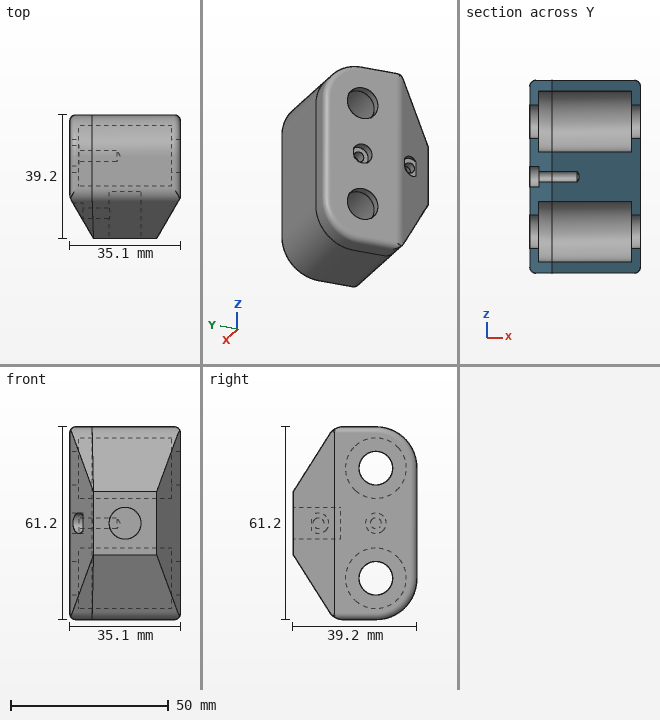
import cadquery as cq
import math

width = 35.1
depth = 39.2
height = 61.2

pad_side = 20.0
back_radius = 13.05
taper_start = depth - back_radius
taper_round = 5.0
side_round = 2.0
pad_left = (width - pad_side) / 2
pad_right = pad_left + pad_side

seam_x = 7.15
seam_bend = 27.4

bore_spacing = 34.9
bore_y = -back_radius
shaft_diameter = 10.6
bearing_diameter = 19.2
end_wall = 2.9

socket_diameter = 10.1
socket_depth = 15.0

screw_head_diameter = 6.5
screw_diameter = 3.4
back_screw_seat = 2.95
back_screw_end = 15.0
drill_tip_angle = 118.0
nose_screw_seat = 4.2
nose_screw_y = -depth + 8.0


def x_cylinder(diameter, start, end, y, z):
    """Cylinder parallel to X between two X positions."""
    return (
        cq.Workplane("YZ", origin=(start, y, z))
        .circle(diameter / 2)
        .extrude(end - start)
    )


def rounded_block():
    """Full-depth block with large back corners and small rounds along both X faces."""
    return (
        cq.Workplane("XY")
        .box(width, depth, height)
        .translate((width / 2, -depth / 2, 0))
        .edges("|X and >Y")
        .fillet(back_radius)
        .faces("<X or >X")
        .edges("not <Y")
        .fillet(side_round)
    )


def tapered_prism(plane, low, high, pad_low, pad_high, start, end):
    """Prism whose outline narrows from low..high to the pad, with sharp shoulders."""
    outline = [
        (low, 0),
        (low, -taper_start),
        (pad_low, -depth),
        (pad_high, -depth),
        (high, -taper_start),
        (high, 0),
    ]
    if plane == "YZ":
        outline = [(y, z) for z, y in outline]
    return cq.Workplane(plane).workplane(offset=start).polyline(outline).close().extrude(end - start)


def outer_shape():
    """Outside form of the closed carriage."""
    side_taper = tapered_prism("XY", 0, width, pad_left, pad_right, -height / 2, height / 2)
    height_taper = tapered_prism("YZ", -height / 2, height / 2, -pad_side / 2, pad_side / 2, 0, width)
    side_shoulder = cq.selectors.NearestToPointSelector((0, -taper_start, 0))
    top_shoulder = cq.selectors.NearestToPointSelector((width / 2, -taper_start, height / 2))
    bottom_shoulder = cq.selectors.NearestToPointSelector((width / 2, -taper_start, -height / 2))
    side_taper = side_taper.edges(side_shoulder).fillet(taper_round)
    height_taper = height_taper.edges(top_shoulder + bottom_shoulder).fillet(taper_round)
    return rounded_block().intersect(side_taper).intersect(height_taper)


def bearing_bores():
    """Stepped bores that hold a bearing between two end walls."""
    bores = cq.Workplane("XY")
    for z in (-bore_spacing / 2, bore_spacing / 2):
        bores = bores.add(x_cylinder(shaft_diameter, 0, width, bore_y, z))
        bores = bores.add(x_cylinder(bearing_diameter, end_wall, width - end_wall, bore_y, z))
    return bores.combine()


def front_socket():
    """Blind round socket in the pad."""
    return (
        cq.Workplane("XZ", origin=((pad_left + pad_right) / 2, -depth, 0))
        .circle(socket_diameter / 2)
        .extrude(-socket_depth)
    )


def back_screw_hole():
    """Counterbored blind screw hole with a conical drill tip."""
    tip_length = screw_diameter / 2 / math.tan(math.radians(drill_tip_angle / 2))
    tip = cq.Workplane(
        cq.Solid.makeCone(
            screw_diameter / 2, 0, tip_length,
            pnt=cq.Vector(back_screw_end, bore_y, 0), dir=cq.Vector(1, 0, 0),
        )
    )
    head = x_cylinder(screw_head_diameter, 0, back_screw_seat, bore_y, 0)
    shank = x_cylinder(screw_diameter, 0, back_screw_end, bore_y, 0)
    return head.union(shank).union(tip)


def nose_screw_hole():
    """Counterbored screw hole that opens into the front socket."""
    head = x_cylinder(screw_head_diameter, 0, nose_screw_seat, nose_screw_y, 0)
    shank = x_cylinder(screw_diameter, 0, width / 2, nose_screw_y, 0)
    return head.union(shank)


def cover_region():
    """Volume on the cover side of the seam."""
    return (
        cq.Workplane("XY", origin=(0, 0, -height / 2))
        .polyline([(0, 0), (seam_x, 0), (seam_x, -seam_bend), (pad_left, -depth), (0, -depth)])
        .close()
        .extrude(height)
    )


carriage = (
    outer_shape()
    .cut(bearing_bores())
    .cut(front_socket())
    .cut(back_screw_hole())
    .cut(nose_screw_hole())
)
cover = carriage.intersect(cover_region())
housing = carriage.cut(cover_region())

result = cq.Compound.makeCompound([cover.val(), housing.val()])